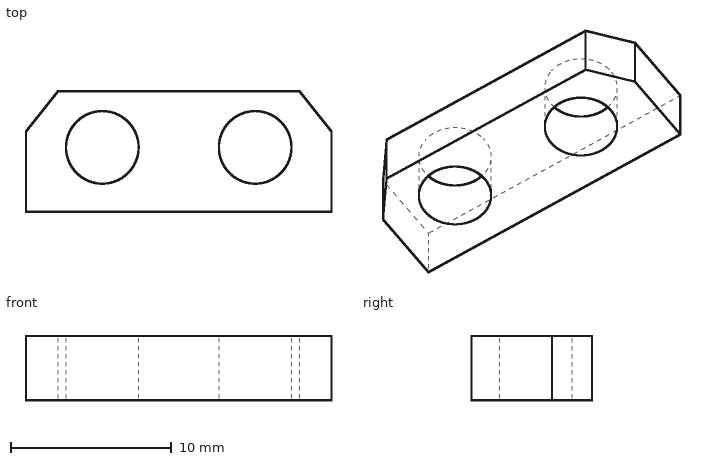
import cadquery as cq

length = 19.0
depth = 7.5
height = 4.0

corner_cut_x = 2.0
corner_cut_y = 2.5

hole_diameter = 4.5
hole_spacing = length / 2
hole_from_front = 4.0

half_length = length / 2
hole_centers = [(side * hole_spacing / 2, hole_from_front) for side in (-1, 1)]

outline = [
    (-half_length, 0),
    (half_length, 0),
    (half_length, depth - corner_cut_y),
    (half_length - corner_cut_x, depth),
    (-half_length + corner_cut_x, depth),
    (-half_length, depth - corner_cut_y),
]
block = cq.Workplane("XY").polyline(outline).close().extrude(height)

holes = cq.Workplane("XY").pushPoints(hole_centers).circle(hole_diameter / 2).extrude(height)

result = block.cut(holes)